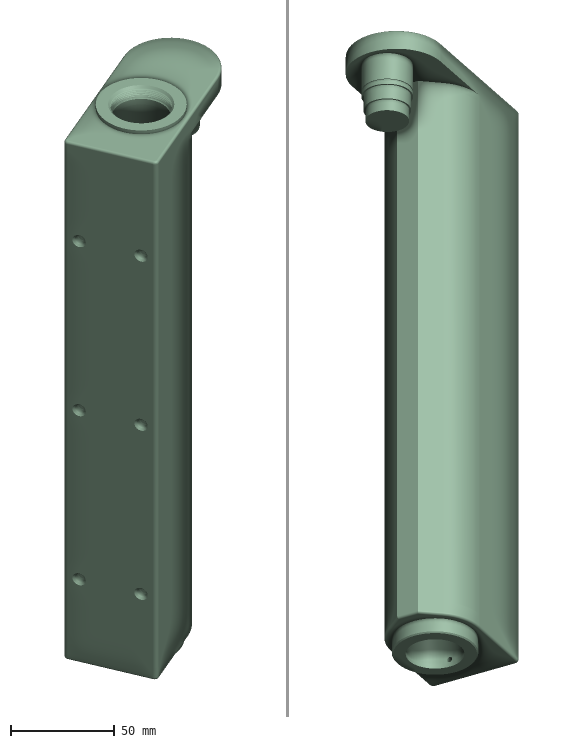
import cadquery as cq
import math

TOTAL_HEIGHT = 317.0
SPIGOT_HEIGHT = 8.0
HOUSING_BOTTOM = 15.2
HOUSING_TOP = 300.5
TAIL_BOTTOM = 304.3
COLLAR_BOTTOM = 307.0
CAP_TOP = 314.8

WIDTH = 49.0
FRONT_DISTANCE = 40.0
ROUND_RADIUS = WIDTH / 2
BACK_FLAT_DISTANCE = 27.0
BLEND_ANGLE = math.radians(51)
CORNER_RADIUS = 2.2

TOTAL_DEPTH = 102.5
TAIL_CENTER = TOTAL_DEPTH - FRONT_DISTANCE - ROUND_RADIUS
CAP_FILLET = 1.3

BORE_DIAMETER = 28.5
COLLAR_DIAMETER = 44.0
COLLAR_BORE_DIAMETER = 28.2
COLLAR_SEAT_DIAMETER = 38.0
SPIGOT_DIAMETER = 42.0
SPIGOT_CHAMFER = 0.5
SET_SCREW_DIAMETER = 2.8
SET_SCREW_Z = SPIGOT_HEIGHT / 2

MOUTH_DIAMETER = 32.0
THREAD_ROOT_DIAMETER = 31.7
THREAD_CREST_DIAMETER = 29.8
THREAD_PITCH = 1.0
THREAD_TURNS = 6

CONNECTOR_Y = 47.0
SHELL_DIAMETER = 25.0
SHELL_BOTTOM = 287.2
SHELL_GROOVE_DIAMETER = 24.0
SHELL_GROOVE_TOP = 290.0
SHELL_GROOVE_WIDTH = 1.0
PLUG_DIAMETER = 23.0
PLUG_BOTTOM = 279.5
TIP_DIAMETER = 21.2
TIP_BOTTOM = 273.5

MOUNT_SPACING_X = 32.3
MOUNT_SPACING_Z = 100.2
MOUNT_MIDDLE_Z = 157.5
MOUNT_ROWS = 3
COUNTERSINK_DIAMETER = 7.0
COUNTERSINK_DEPTH = 1.0
MOUNT_DIAMETER = 5.0
MOUNT_DEPTH = 4.8
DRILL_TIP_ANGLE = math.radians(118)


def cylinder(diameter, bottom, top, y=0):
    """Upright cylinder between two heights."""
    return cq.Workplane("XY", origin=(0, y, bottom)).circle(diameter / 2).extrude(top - bottom)


def housing_block(bottom, top):
    """Square-fronted prism whose round back ends in two sloping flats and a narrow flat."""
    blend_x = ROUND_RADIUS * math.cos(BLEND_ANGLE)
    blend_y = ROUND_RADIUS * math.sin(BLEND_ANGLE)
    back_x = blend_x - (BACK_FLAT_DISTANCE - blend_y) * math.tan(BLEND_ANGLE)
    arc_x = ROUND_RADIUS * math.cos(BLEND_ANGLE / 2)
    arc_y = ROUND_RADIUS * math.sin(BLEND_ANGLE / 2)
    return (
        cq.Workplane("XY", origin=(0, 0, bottom))
        .moveTo(-ROUND_RADIUS, -FRONT_DISTANCE)
        .lineTo(ROUND_RADIUS, -FRONT_DISTANCE)
        .lineTo(ROUND_RADIUS, 0)
        .threePointArc((arc_x, arc_y), (blend_x, blend_y))
        .lineTo(back_x, BACK_FLAT_DISTANCE)
        .lineTo(-back_x, BACK_FLAT_DISTANCE)
        .lineTo(-blend_x, blend_y)
        .threePointArc((-arc_x, arc_y), (-ROUND_RADIUS, 0))
        .close()
        .extrude(top - bottom)
        .edges("|Z and <Y")
        .fillet(CORNER_RADIUS)
    )


def tail_plate():
    """Top plate that runs back past the housing and ends in a half circle."""
    return (
        cq.Workplane("XY", origin=(0, 0, TAIL_BOTTOM))
        .moveTo(-ROUND_RADIUS, -FRONT_DISTANCE)
        .lineTo(ROUND_RADIUS, -FRONT_DISTANCE)
        .lineTo(ROUND_RADIUS, TAIL_CENTER)
        .threePointArc((0, TAIL_CENTER + ROUND_RADIUS), (-ROUND_RADIUS, TAIL_CENTER))
        .close()
        .extrude(CAP_TOP - TAIL_BOTTOM)
        .edges("|Z and <Y")
        .fillet(CORNER_RADIUS)
        .faces(">Z")
        .edges()
        .fillet(CAP_FILLET)
    )


def mounting_hole(x, z):
    """Cutter for a countersunk blind hole with a drill tip, bored from the front face."""
    mount_radius = MOUNT_DIAMETER / 2
    tip_depth = MOUNT_DEPTH + mount_radius / math.tan(DRILL_TIP_ANGLE / 2)
    return (
        cq.Workplane("XY")
        .polyline([
            (0, 0),
            (COUNTERSINK_DIAMETER / 2, 0),
            (mount_radius, COUNTERSINK_DEPTH),
            (mount_radius, MOUNT_DEPTH),
            (0, tip_depth),
        ])
        .close()
        .revolve(360, (0, 0, 0), (0, 1, 0))
        .translate((x, -FRONT_DISTANCE, z))
    )


def make_housing():
    housing = housing_block(HOUSING_BOTTOM, HOUSING_TOP)
    housing = housing.cut(cylinder(BORE_DIAMETER, HOUSING_BOTTOM, HOUSING_TOP))
    for row in range(MOUNT_ROWS):
        z = MOUNT_MIDDLE_Z + (row - (MOUNT_ROWS - 1) / 2) * MOUNT_SPACING_Z
        for side in (-1, 1):
            housing = housing.cut(mounting_hole(side * MOUNT_SPACING_X / 2, z))
    return housing


def make_top_cap():
    cap = housing_block(HOUSING_TOP, TAIL_BOTTOM).union(tail_plate())
    cap = cap.cut(cylinder(BORE_DIAMETER, HOUSING_TOP, CAP_TOP))
    return cap.cut(cylinder(COLLAR_SEAT_DIAMETER, COLLAR_BOTTOM, CAP_TOP))


def make_bottom_cap():
    cap = housing_block(SPIGOT_HEIGHT, HOUSING_BOTTOM)
    cap = cap.faces("<Z").edges().fillet(CAP_FILLET)
    return cap.cut(cylinder(BORE_DIAMETER, SPIGOT_HEIGHT, HOUSING_BOTTOM))


def make_collar():
    """Flanged ring seated in the top cap, with V-shaped ring grooves in its bore."""
    collar = cylinder(COLLAR_DIAMETER, CAP_TOP, TOTAL_HEIGHT)
    collar = collar.union(cylinder(COLLAR_SEAT_DIAMETER, COLLAR_BOTTOM, CAP_TOP))
    bore_radius = COLLAR_BORE_DIAMETER / 2
    crest_radius = THREAD_CREST_DIAMETER / 2
    root_radius = THREAD_ROOT_DIAMETER / 2
    mouth_radius = MOUTH_DIAMETER / 2
    thread_top = TOTAL_HEIGHT - (mouth_radius - crest_radius)
    thread_bottom = thread_top - THREAD_TURNS * THREAD_PITCH
    outline = [(0, COLLAR_BOTTOM), (bore_radius, COLLAR_BOTTOM), (bore_radius, thread_bottom)]
    for turn in range(THREAD_TURNS):
        crest_z = thread_bottom + turn * THREAD_PITCH
        outline.append((crest_radius, crest_z))
        outline.append((root_radius, crest_z + THREAD_PITCH / 2))
    outline += [(crest_radius, thread_top), (mouth_radius, TOTAL_HEIGHT), (0, TOTAL_HEIGHT)]
    bore = cq.Workplane("XZ").polyline(outline).close().revolve(360, (0, 0, 0), (0, 1, 0))
    return collar.cut(bore)


def make_spigot():
    spigot = cylinder(SPIGOT_DIAMETER, 0, SPIGOT_HEIGHT)
    spigot = spigot.faces("<Z").edges().chamfer(SPIGOT_CHAMFER)
    spigot = spigot.cut(cylinder(BORE_DIAMETER, 0, SPIGOT_HEIGHT))
    set_screw_hole = (
        cq.Workplane("XZ", origin=(0, 0, SET_SCREW_Z))
        .circle(SET_SCREW_DIAMETER / 2)
        .extrude(SPIGOT_DIAMETER / 2)
    )
    return spigot.cut(set_screw_hole)


def make_connector():
    """Stepped round plug hanging from the tail, with a fine groove near the end of its shell."""
    groove_bottom = SHELL_GROOVE_TOP - SHELL_GROOVE_WIDTH
    connector = cylinder(SHELL_DIAMETER, SHELL_GROOVE_TOP, TAIL_BOTTOM, CONNECTOR_Y)
    for diameter, bottom, top in (
        (SHELL_GROOVE_DIAMETER, groove_bottom, SHELL_GROOVE_TOP),
        (SHELL_DIAMETER, SHELL_BOTTOM, groove_bottom),
        (PLUG_DIAMETER, PLUG_BOTTOM, SHELL_BOTTOM),
        (TIP_DIAMETER, TIP_BOTTOM, PLUG_BOTTOM),
    ):
        connector = connector.union(cylinder(diameter, bottom, top, CONNECTOR_Y))
    return connector


housing = make_housing()
top_cap = make_top_cap()
bottom_cap = make_bottom_cap()
collar = make_collar()
spigot = make_spigot()
connector = make_connector()

result = cq.Compound.makeCompound([
    housing.val(),
    top_cap.val(),
    bottom_cap.val(),
    collar.val(),
    spigot.val(),
    connector.val(),
])